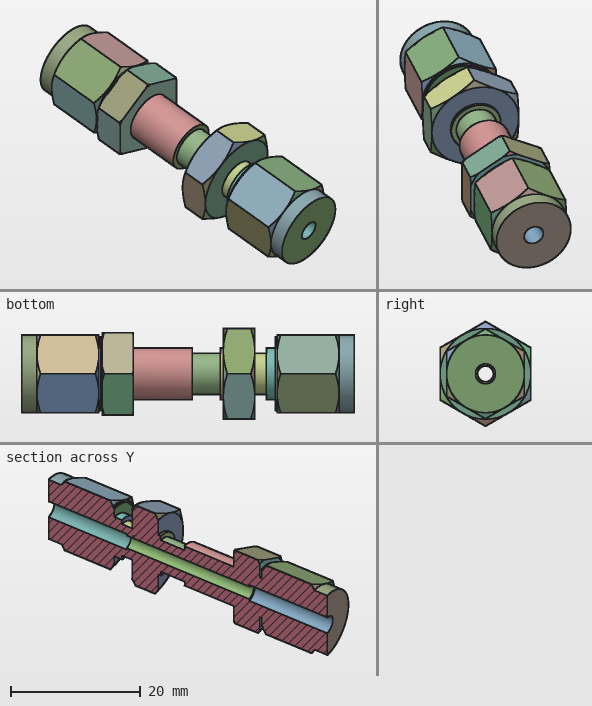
import cadquery as cq
import math

total_length = 51.3

nut_flats = 12.0
collar_length = 2.35
nut_hex_end = 11.9
nut_lip_diameter = 11.4
nut_length = 12.15

body_hex_flats = 12.7
body_hex_start = 12.4
body_hex_end = 17.25
body_hex_left_chamfer_radius = 6.75
body_hex_right_chamfer_radius = 7.1

body_diameter = 8.0
body_end = 26.3
thread_diameter = 6.4
thread_end = 37.75

panel_nut_flats = 14.0
panel_nut_start = 31.1
panel_nut_end = 35.95
washer_thickness = 0.45

bore_diameter = 2.4
tube_socket_diameter = 3.1
tube_socket_depth = 14.35

chamfer_run = math.tan(math.radians(30))


def cylinder(diameter, start, end):
    """Round bar along X from start to end."""
    return cq.Workplane("YZ", origin=(start, 0, 0)).circle(diameter / 2).extrude(end - start)


def chamfered_hexagon(flats, start, end, start_radius, end_radius):
    """Hexagon along X with corners up and down, cut by a cone at each end."""
    corner_radius = flats / 2 / math.cos(math.radians(30))
    hexagon = (
        cq.Workplane("YZ", origin=(start, 0, 0))
        .transformed(rotate=(0, 0, 90))
        .polygon(6, 2 * corner_radius)
        .extrude(end - start)
    )
    start_chamfer = (corner_radius - start_radius) * chamfer_run
    end_chamfer = (corner_radius - end_radius) * chamfer_run
    envelope = (
        cq.Workplane("XY")
        .polyline([
            (start, 0),
            (start, start_radius),
            (start + start_chamfer, corner_radius),
            (end - end_chamfer, corner_radius),
            (end, end_radius),
            (end, 0),
        ])
        .close()
        .revolve(360, (0, 0, 0), (1, 0, 0))
    )
    return hexagon.intersect(envelope)


def compression_nut():
    """Left end nut: a round collar, a hexagon and a thin lip on its inner face."""
    collar = cylinder(nut_flats, 0, collar_length)
    hexagon = chamfered_hexagon(
        nut_flats, collar_length, nut_hex_end, nut_flats / 2, nut_flats / 2
    )
    lip = cylinder(nut_lip_diameter, nut_hex_end, nut_length)
    return collar.union(hexagon).union(lip)


def mirrored(shape):
    """Copy of a shape at the opposite end of the fitting."""
    return shape.mirror("YZ", (total_length / 2, 0, 0))


left_nut = compression_nut()
right_nut = mirrored(left_nut)

body = (
    cylinder(body_diameter, nut_length, body_end)
    .union(cylinder(thread_diameter, body_end, thread_end))
    .union(cylinder(body_diameter, thread_end, total_length - nut_length))
)

body_hex = chamfered_hexagon(
    body_hex_flats,
    body_hex_start,
    body_hex_end,
    body_hex_left_chamfer_radius,
    body_hex_right_chamfer_radius,
)

panel_nut = chamfered_hexagon(
    panel_nut_flats, panel_nut_start, panel_nut_end, panel_nut_flats / 2, panel_nut_flats / 2
)
washer_face = cylinder(body_diameter, panel_nut_start - washer_thickness, panel_nut_start)

tube_socket = cylinder(tube_socket_diameter, 0, tube_socket_depth)

result = (
    body.union(left_nut)
    .union(right_nut)
    .union(body_hex)
    .union(panel_nut)
    .union(washer_face)
    .cut(cylinder(bore_diameter, 0, total_length))
    .cut(tube_socket)
    .cut(mirrored(tube_socket))
)